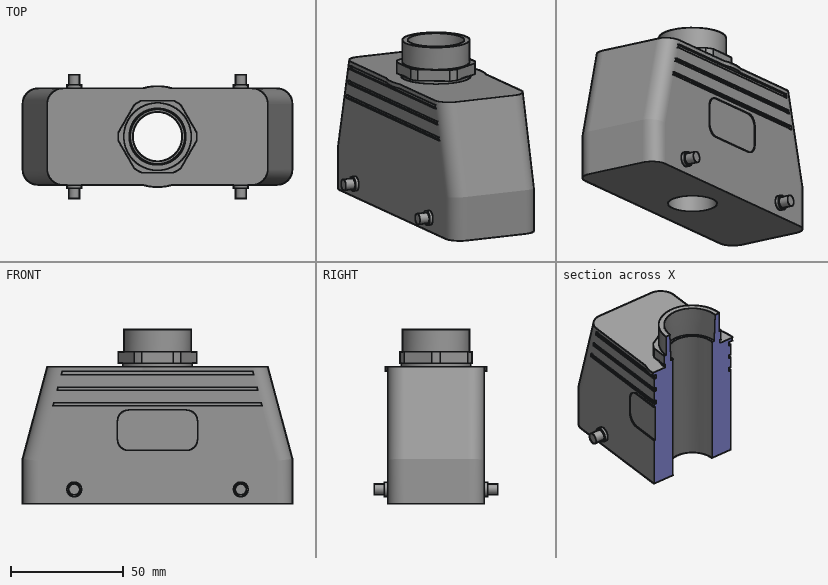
import cadquery as cq
import math

BODY_LENGTH = 120.0
BODY_WIDTH = 43.0
BODY_HEIGHT = 61.0
SKIRT_HEIGHT = 20.0
END_LEAN_ANGLE = 15.0
CORNER_RADIUS = 7.0

LIP_DIAMETER = 45.0
LIP_HEIGHT = 2.0

GROOVES = [(LIP_HEIGHT, 1.7), (9.1, 1.5), (16.0, 1.5)]
GROOVE_DEPTH = 1.0

LABEL_LENGTH = 35.6
LABEL_HEIGHT = 18.0
LABEL_RADIUS = 5.0
LABEL_CENTER_Z = 32.7
LABEL_DEPTH = 0.4

PIN_SPACING = 74.0
PIN_CENTER_Z = 6.4
PIN_DIAMETER = 4.9
PIN_SPAN = 55.0
COLLAR_DIAMETER = 6.5
COLLAR_LENGTH = 1.5

NECK_DIAMETER = 31.0
NECK_HEIGHT = 1.5
HEX_ACROSS_FLATS = 32.0
HEX_CORNER_DIAMETER = 35.0
HEX_HEIGHT = 5.0
HEX_TURN = 30.0
SLEEVE_DIAMETER = 30.0
SLEEVE_HEIGHT = 10.0

MOUTH_DIAMETER = 25.2
SEAT_DIAMETER = 24.24
BORE_DIAMETER = 21.8
TAPER_DEPTH = 13.0
SEAT_LENGTH = 1.0

HALF_LENGTH = BODY_LENGTH / 2
HALF_WIDTH = BODY_WIDTH / 2
LEAN_SLOPE = math.tan(math.radians(END_LEAN_ANGLE))
TOP_HALF_LENGTH = HALF_LENGTH - (BODY_HEIGHT - SKIRT_HEIGHT) * LEAN_SLOPE
LEANING_CORNER_REACH = CORNER_RADIUS / math.cos(math.radians(END_LEAN_ANGLE))
HEX_BOTTOM = BODY_HEIGHT + NECK_HEIGHT
SLEEVE_BOTTOM = HEX_BOTTOM + HEX_HEIGHT
TOTAL_HEIGHT = SLEEVE_BOTTOM + SLEEVE_HEIGHT


def cylinder(diameter, bottom, height):
    """Upright cylinder on the Z axis."""
    return cq.Workplane("XY").workplane(offset=bottom).circle(diameter / 2).extrude(height)


def make_body():
    outline = [
        (-HALF_LENGTH, 0),
        (HALF_LENGTH, 0),
        (HALF_LENGTH, SKIRT_HEIGHT),
        (TOP_HALF_LENGTH, BODY_HEIGHT),
        (-TOP_HALF_LENGTH, BODY_HEIGHT),
        (-HALF_LENGTH, SKIRT_HEIGHT),
    ]
    body = cq.Workplane("XZ").polyline(outline).close().extrude(HALF_WIDTH, both=True)
    corner_edges = body.edges("not (|X or |Y)")
    return corner_edges.fillet(CORNER_RADIUS)


def groove_half_length(z):
    """Half length of the flat part of the long side at height z."""
    return TOP_HALF_LENGTH + (BODY_HEIGHT - z) * LEAN_SLOPE - LEANING_CORNER_REACH


def make_groove(drop, height, side):
    """Groove on the long side facing +Y (side = 1) or -Y (side = -1)."""
    upper = BODY_HEIGHT - drop
    lower = upper - height
    outline = [
        (-groove_half_length(lower), lower),
        (groove_half_length(lower), lower),
        (groove_half_length(upper), upper),
        (-groove_half_length(upper), upper),
    ]
    floor_plane = cq.Workplane("XZ", origin=(0, side * (HALF_WIDTH - GROOVE_DEPTH), 0))
    return floor_plane.polyline(outline).close().extrude(-side * GROOVE_DEPTH)


def make_label_recess():
    return (
        cq.Workplane("XY")
        .box(LABEL_LENGTH, LABEL_DEPTH, LABEL_HEIGHT, centered=(True, False, True))
        .edges("|Y")
        .fillet(LABEL_RADIUS)
        .translate((0, -HALF_WIDTH, LABEL_CENTER_Z))
    )


def make_pin(x, side):
    """Pin and collar on the long side facing +Y (side = 1) or -Y (side = -1)."""
    base = cq.Workplane("XZ", origin=(x, 0, PIN_CENTER_Z))
    pin = base.circle(PIN_DIAMETER / 2).extrude(-side * PIN_SPAN / 2)
    collar = base.circle(COLLAR_DIAMETER / 2).extrude(-side * (HALF_WIDTH + COLLAR_LENGTH))
    return pin.union(collar)


def make_gland():
    hexagon = (
        cq.Workplane("XY")
        .workplane(offset=HEX_BOTTOM)
        .polygon(6, HEX_ACROSS_FLATS, circumscribed=True)
        .extrude(HEX_HEIGHT)
        .rotate((0, 0, 0), (0, 0, 1), HEX_TURN)
        .intersect(cylinder(HEX_CORNER_DIAMETER, HEX_BOTTOM, HEX_HEIGHT))
    )
    neck = cylinder(NECK_DIAMETER, BODY_HEIGHT, NECK_HEIGHT)
    sleeve = cylinder(SLEEVE_DIAMETER, SLEEVE_BOTTOM, SLEEVE_HEIGHT)
    return neck.union(hexagon).union(sleeve)


def make_bore():
    taper_bottom = TOTAL_HEIGHT - TAPER_DEPTH
    seat_bottom = taper_bottom - SEAT_LENGTH
    half_section = [
        (0, 0),
        (BORE_DIAMETER / 2, 0),
        (BORE_DIAMETER / 2, seat_bottom),
        (SEAT_DIAMETER / 2, seat_bottom),
        (SEAT_DIAMETER / 2, taper_bottom),
        (MOUTH_DIAMETER / 2, TOTAL_HEIGHT),
        (0, TOTAL_HEIGHT),
    ]
    return cq.Workplane("XZ").polyline(half_section).close().revolve(360, (0, 0), (0, 1))


hood = make_body()
for side in (-1, 1):
    for drop, height in GROOVES:
        hood = hood.cut(make_groove(drop, height, side))
hood = hood.cut(make_label_recess())
hood = hood.union(cylinder(LIP_DIAMETER, BODY_HEIGHT - LIP_HEIGHT, LIP_HEIGHT))
for side in (-1, 1):
    for x in (-PIN_SPACING / 2, PIN_SPACING / 2):
        hood = hood.union(make_pin(x, side))
result = hood.union(make_gland()).cut(make_bore())